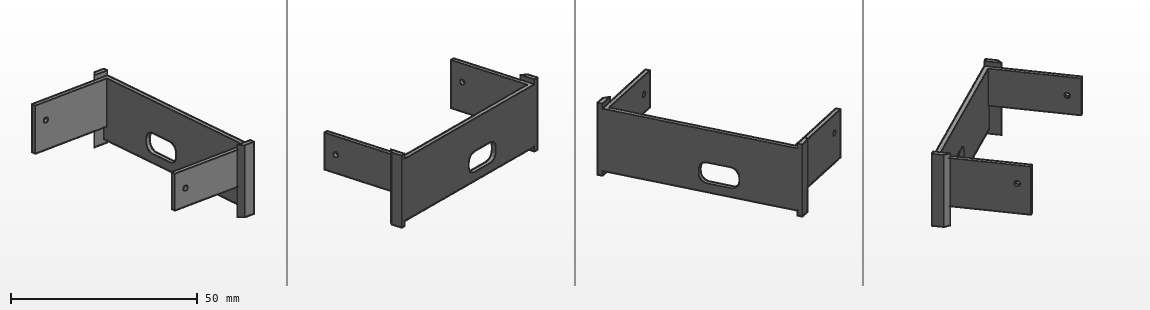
import cadquery as cq

length = 60.7
depth = 27.0
height = 21.45

wall_thickness = 1.4
wall_inset = 1.45
wall_top = height - wall_inset

flange_thickness = 1.45
flange_depth = 4.8
flange_outer_depth = flange_depth - flange_thickness

arm_thickness = 1.35
left_arm_height = 14.3
right_arm_height = 11.0
inner_end = length / 2 - flange_thickness

hole_diameter = 1.5
hole_from_front = 3.8
hole_below_top = right_arm_height / 2

window_width = 11.95
window_height = 6.15
window_radius = 2.5
window_center_x = -5.65
window_center_z = 7.2


def make_wall():
    return (
        cq.Workplane("XY")
        .box(2 * inner_end, wall_thickness, height - 2 * wall_inset, centered=(True, False, False))
        .translate((0, -wall_thickness, wall_inset))
    )


def make_flange(side):
    """Full-height flange at one end: side is -1 for left, +1 for right."""
    outer = side * length / 2
    inner = side * inner_end
    outline = [(inner, 0), (outer, 0), (outer, -flange_outer_depth), (inner, -flange_depth)]
    return cq.Workplane("XY").polyline(outline).close().extrude(height)


def make_arm(side, arm_height):
    """Flat arm running forward from the wall along the inner face of a flange."""
    center_x = side * (inner_end - arm_thickness / 2)
    return (
        cq.Workplane("XY")
        .box(arm_thickness, depth, arm_height, centered=(True, False, False))
        .translate((center_x, -depth, wall_top - arm_height))
    )


def make_window_cutter():
    return (
        cq.Workplane("XZ")
        .center(window_center_x, window_center_z)
        .rect(window_width, window_height)
        .extrude(wall_thickness)
        .edges("|Y")
        .fillet(window_radius)
    )


def make_cross_hole_cutter():
    return (
        cq.Workplane("YZ")
        .center(-depth + hole_from_front, wall_top - hole_below_top)
        .circle(hole_diameter / 2)
        .extrude(length / 2, both=True)
    )


result = make_wall()
for side, arm_height in ((-1, left_arm_height), (1, right_arm_height)):
    result = result.union(make_flange(side)).union(make_arm(side, arm_height))
result = result.cut(make_window_cutter()).cut(make_cross_hole_cutter())